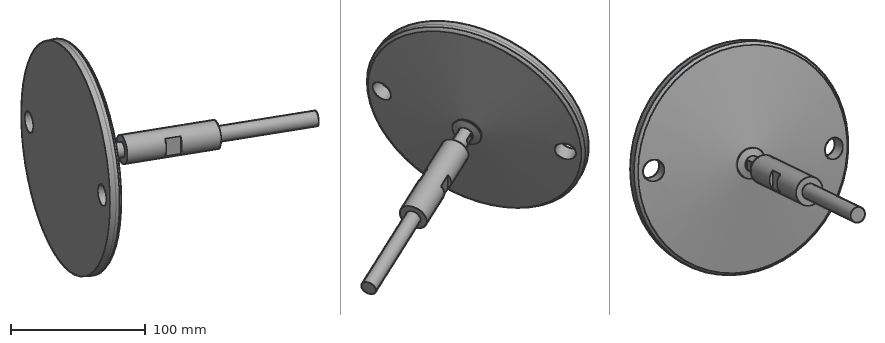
import cadquery as cq
import math


foot_diameter = 178.0
underside_diameter = 177.2
lower_rim_height = 4.5
upper_rim_height = 7.5
cone_start_height = 9.8
edge_inset = 2.2
edge_bulge = 0.25
cone_top_height = 22.5
cone_top_diameter = 24.0

hole_diameter = 16.5
hole_spacing = 145.5
cutter_overrun = 20.0

overall_height = 200.0
rod_diameter = 12.0
collar_diameter = 23.5
collar_bottom_diameter = 22.0
collar_edge_height = 24.2
collar_top_height = 26.0
sleeve_diameter = 22.0
sleeve_bottom = 45.0
sleeve_top = 120.0

sleeve_flat_width = 16.8
sleeve_flat_bottom = 76.2
sleeve_flat_top = 88.5
rod_flat_width = 9.5
rod_flat_bottom = 26.8
rod_flat_top = 35.0


def make_foot():
    """Conical foot with a rounded rim and two holes square to the cone."""
    foot_radius = foot_diameter / 2
    cone_start_radius = foot_radius - edge_inset
    edge_rise = cone_start_height - upper_rim_height
    edge_chord = math.hypot(edge_inset, edge_rise)
    edge_middle = (
        foot_radius - edge_inset / 2 + edge_bulge * edge_rise / edge_chord,
        upper_rim_height + edge_rise / 2 + edge_bulge * edge_inset / edge_chord,
    )
    foot = (
        cq.Workplane("XY")
        .lineTo(underside_diameter / 2, 0)
        .lineTo(foot_radius, lower_rim_height)
        .lineTo(foot_radius, upper_rim_height)
        .threePointArc(edge_middle, (cone_start_radius, cone_start_height))
        .lineTo(cone_top_diameter / 2, cone_top_height)
        .lineTo(0, cone_top_height)
        .close()
        .revolve(360, (0, 0, 0), (0, 1, 0))
    )
    cone_angle = math.atan2(
        cone_top_height - cone_start_height,
        cone_start_radius - cone_top_diameter / 2,
    )
    for side in (-1, 1):
        direction = cq.Vector(side * math.sin(cone_angle), math.cos(cone_angle), 0)
        centre = cq.Vector(side * hole_spacing / 2, 0, 0)
        cutter = cq.Solid.makeCylinder(
            hole_diameter / 2,
            cone_top_height + 2 * cutter_overrun,
            centre - direction * cutter_overrun,
            direction,
        )
        foot = foot.cut(cq.Workplane(obj=cutter))
    return foot


def cut_flats(body, diameter, width, bottom, top):
    """Cut two opposite flats, facing -X and +X, into a round stretch."""
    depth = (diameter - width) / 2
    for side in (-1, 1):
        cutter = cq.Workplane("XY").box(depth, top - bottom, diameter).translate(
            (side * (width + depth) / 2, (bottom + top) / 2, 0)
        )
        body = body.cut(cutter)
    return body


def make_spindle():
    """Rod with a flared collar resting on the foot, a sleeve and wrench flats."""
    rod_radius = rod_diameter / 2
    sleeve_radius = sleeve_diameter / 2
    spindle = (
        cq.Workplane("XY")
        .moveTo(0, cone_top_height)
        .lineTo(collar_bottom_diameter / 2, cone_top_height)
        .lineTo(collar_diameter / 2, collar_edge_height)
        .lineTo(rod_radius, collar_top_height)
        .lineTo(rod_radius, sleeve_bottom)
        .lineTo(sleeve_radius, sleeve_bottom)
        .lineTo(sleeve_radius, sleeve_top)
        .lineTo(rod_radius, sleeve_top)
        .lineTo(rod_radius, overall_height)
        .lineTo(0, overall_height)
        .close()
        .revolve(360, (0, 0, 0), (0, 1, 0))
    )
    spindle = cut_flats(
        spindle, sleeve_diameter, sleeve_flat_width, sleeve_flat_bottom, sleeve_flat_top
    )
    return cut_flats(spindle, rod_diameter, rod_flat_width, rod_flat_bottom, rod_flat_top)


foot = make_foot()
spindle = make_spindle()
result = cq.Compound.makeCompound([foot.val(), spindle.val()])